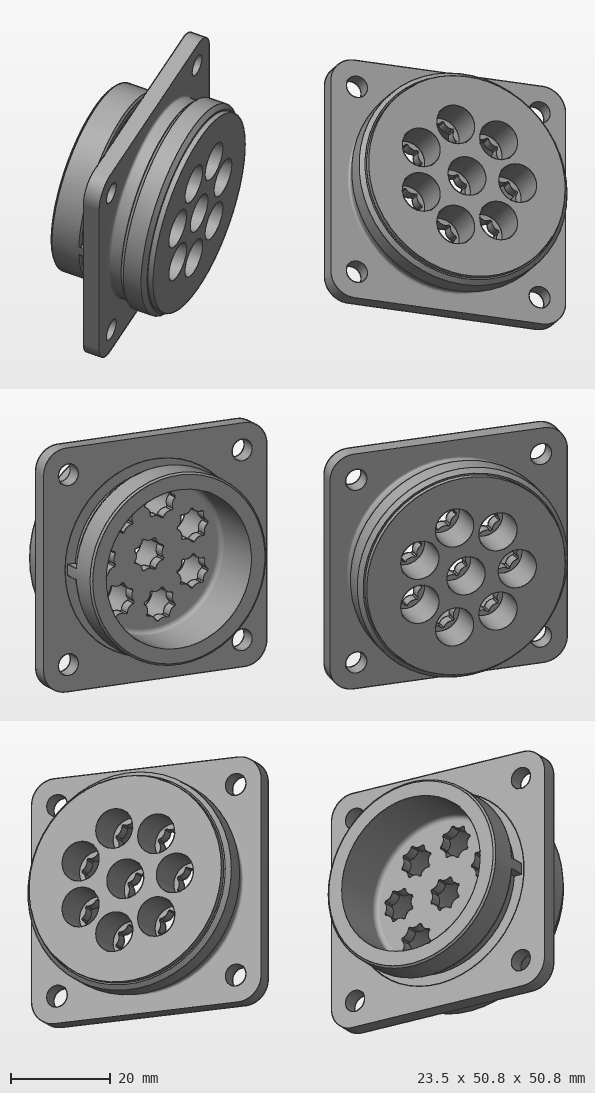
import cadquery as cq
import math

FLANGE_FRONT = 10.0
FLANGE_THICKNESS = 3.5
FLANGE_BACK = FLANGE_FRONT + FLANGE_THICKNESS
LENGTH = 23.5

FLANGE_SIDE = 50.8
CORNER_RADIUS = 5.1
MOUNT_HOLE_DIAMETER = 4.5
MOUNT_HOLE_SPACING = 39.5

SEAM_INNER_DIAMETER = 41.0
SEAM_OUTER_DIAMETER = 41.1
SEAM_DEPTH = 0.5

LIP_DIAMETER = 40.0
LIP_CHAMFER = 0.4
LIP_LENGTH = 6.75
NECK_DIAMETER = 36.5
KEY_WIDTH = 2.35

SOCKET_DIAMETER = 33.0
SOCKET_DEPTH = 12.6
SOCKET_FLOOR_FILLET = 1.0

BARREL_DIAMETER = 42.5
BARREL_ROOT_FILLET = 0.5
RING_DIAMETER = 45.0
RING_FRONT = 16.55
RING_BACK = 22.35
RING_CHAMFER = 0.9

OUTER_CONTACT_COUNT = 7
CONTACT_CIRCLE_RADIUS = 10.95
CONTACT_TIP_DIAMETER = 7.0
CONTACT_WAIST_DIAMETER = 5.85
SCALLOP_COUNT = 8
SCALLOP_RADIUS = 1.95
SCALLOP_CENTRE_RADIUS = CONTACT_WAIST_DIAMETER / 2 + SCALLOP_RADIUS
SCALLOPED_DEPTH = 2.6
CONTACT_BORE_DIAMETER = 8.2


def plane_at(x):
    """Sketch plane across the axis at X = x, facing +X (local x = +Y, local y = +Z)."""
    return cq.Workplane("YZ", origin=(x, 0, 0))


def disc(diameter, start, end):
    """Round bar on the connector axis between two X positions."""
    return plane_at(start).circle(diameter / 2).extrude(end - start)


def make_flange():
    return (
        plane_at(FLANGE_FRONT)
        .rect(FLANGE_SIDE, FLANGE_SIDE)
        .extrude(FLANGE_THICKNESS)
        .edges("|X")
        .fillet(CORNER_RADIUS)
        .faces("<X")
        .workplane(origin=(0, 0, 0))
        .rect(MOUNT_HOLE_SPACING, MOUNT_HOLE_SPACING, forConstruction=True)
        .vertices()
        .hole(MOUNT_HOLE_DIAMETER)
    )


def make_seam():
    end = FLANGE_FRONT + SEAM_DEPTH
    outer = disc(SEAM_OUTER_DIAMETER, FLANGE_FRONT, end)
    return outer.cut(disc(SEAM_INNER_DIAMETER, FLANGE_FRONT, end))


def make_front_shell():
    lip = disc(LIP_DIAMETER, 0, LIP_LENGTH).edges().chamfer(LIP_CHAMFER)
    neck = disc(NECK_DIAMETER, 0, FLANGE_FRONT)
    key_start = LIP_LENGTH - LIP_CHAMFER
    key_bar = (
        plane_at(key_start)
        .rect(LIP_DIAMETER, KEY_WIDTH)
        .extrude(FLANGE_FRONT - key_start)
    )
    keys = key_bar.intersect(disc(LIP_DIAMETER, key_start, FLANGE_FRONT))
    return lip.union(neck).union(keys)


def make_rear_barrel():
    barrel_radius = BARREL_DIAMETER / 2
    root_radius = barrel_radius + BARREL_ROOT_FILLET
    fillet_end = FLANGE_BACK + BARREL_ROOT_FILLET
    arc_offset = BARREL_ROOT_FILLET * (1 - math.sqrt(0.5))
    barrel = (
        cq.Workplane("XY")
        .moveTo(FLANGE_BACK, 0)
        .lineTo(FLANGE_BACK, root_radius)
        .threePointArc(
            (FLANGE_BACK + arc_offset, barrel_radius + arc_offset),
            (fillet_end, barrel_radius),
        )
        .lineTo(LENGTH, barrel_radius)
        .lineTo(LENGTH, 0)
        .close()
        .revolve(360, (0, 0, 0), (1, 0, 0))
    )
    ring = disc(RING_DIAMETER, RING_FRONT, RING_BACK).edges().chamfer(RING_CHAMFER)
    return barrel.union(ring)


def make_socket():
    bore = disc(SOCKET_DIAMETER, 0, SOCKET_DEPTH)
    return bore.faces(">X").edges().fillet(SOCKET_FLOOR_FILLET)


def make_contact_hole():
    """Cutter for one contact hole on the axis, running from the socket floor to the back."""
    bore_start = SOCKET_DEPTH + SCALLOPED_DEPTH
    scallops = (
        plane_at(SOCKET_DEPTH)
        .polarArray(SCALLOP_CENTRE_RADIUS, 0, 360, SCALLOP_COUNT)
        .circle(SCALLOP_RADIUS)
        .extrude(SCALLOPED_DEPTH)
    )
    scalloped = disc(CONTACT_TIP_DIAMETER, SOCKET_DEPTH, bore_start).cut(scallops)
    return scalloped.union(disc(CONTACT_BORE_DIAMETER, bore_start, LENGTH))


result = make_flange().cut(make_seam()).union(make_front_shell()).union(make_rear_barrel())
result = result.cut(make_socket())

contact_hole = make_contact_hole()
result = result.cut(contact_hole)
outer_hole = contact_hole.translate((0, CONTACT_CIRCLE_RADIUS, 0))
for index in range(OUTER_CONTACT_COUNT):
    angle = index * 360 / OUTER_CONTACT_COUNT
    result = result.cut(outer_hole.rotate((0, 0, 0), (1, 0, 0), angle))